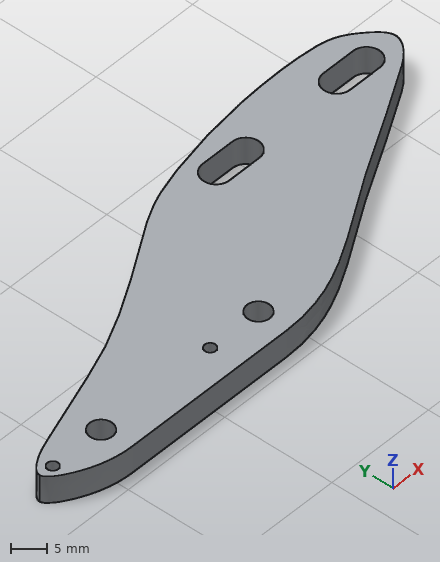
import cadquery as cq

THICKNESS = 5.0
LENGTH = 100.1
WIDTH = 36.3
FLAT_START_X = 13.0
FLAT_END_X = 45.0

HOLE_ROW_Y = 5.5
SMALL_HOLE_DIAMETER = 2.0
LARGE_HOLE_DIAMETER = 4.2
FIRST_SMALL_HOLE_X = 2.6
SMALL_TO_LARGE_SPACING = 10.0
HOLE_PAIR_SPACING = 32.6

SLOT_LENGTH = 11.2
SLOT_WIDTH = 5.0
SLOT_ROW_Y = 29.0
FIRST_SLOT_X = 65.7
SLOT_SPACING = 25.0

LEFT_TIP = (0, 5.6)
RIGHT_TIP = (LENGTH, 29.2)
FLAT_START = (FLAT_START_X, 0)
FLAT_END = (FLAT_END_X, 0)
CREST = (82.6, WIDTH)

LOWER_RIGHT_EDGE = [(53.7, 1.3), (61.5, 4.6), (72.4, 11.1), (86.8, 19.2), (95.9, 24.4), (98.6, 26.4)]
RIGHT_NOSE = [(97.7, 32.8), (94.1, 35.2), (89.6, 36.1)]
UPPER_LEFT_EDGE = [
    (70.6, 35.4), (59.7, 33.4), (52.5, 31.2), (43.5, 26.2),
    (32.5, 19.8), (23.5, 15.6), (16.3, 13.1), (10.8, 11.2), (5.4, 9.4), (1.2, 7.3),
]
LOWER_LEFT_EDGE = [(0.7, 4.4), (2.9, 2.8), (7.2, 0.9)]

ALONG_X = (1, 0)
DOWN = (0, -1)


def make_plate():
    main_curve = LOWER_RIGHT_EDGE + [RIGHT_TIP] + RIGHT_NOSE + [CREST] + UPPER_LEFT_EDGE + [LEFT_TIP]
    left_curve = LOWER_LEFT_EDGE + [FLAT_START]
    return (
        cq.Workplane("XY")
        .moveTo(*FLAT_START)
        .lineTo(*FLAT_END)
        .spline(main_curve, tangents=[ALONG_X, DOWN], scale=False, includeCurrent=True)
        .spline(left_curve, tangents=[DOWN, ALONG_X], scale=False, includeCurrent=True)
        .close()
        .extrude(THICKNESS)
    )


def make_hole_cutters(diameter, first_x):
    centers = [(first_x + pair * HOLE_PAIR_SPACING, HOLE_ROW_Y) for pair in range(2)]
    return cq.Workplane("XY").pushPoints(centers).circle(diameter / 2).extrude(THICKNESS)


def make_slot_cutters():
    centers = [(FIRST_SLOT_X + slot * SLOT_SPACING, SLOT_ROW_Y) for slot in range(2)]
    return cq.Workplane("XY").pushPoints(centers).slot2D(SLOT_LENGTH, SLOT_WIDTH).extrude(THICKNESS)


result = (
    make_plate()
    .cut(make_hole_cutters(SMALL_HOLE_DIAMETER, FIRST_SMALL_HOLE_X))
    .cut(make_hole_cutters(LARGE_HOLE_DIAMETER, FIRST_SMALL_HOLE_X + SMALL_TO_LARGE_SPACING))
    .cut(make_slot_cutters())
)